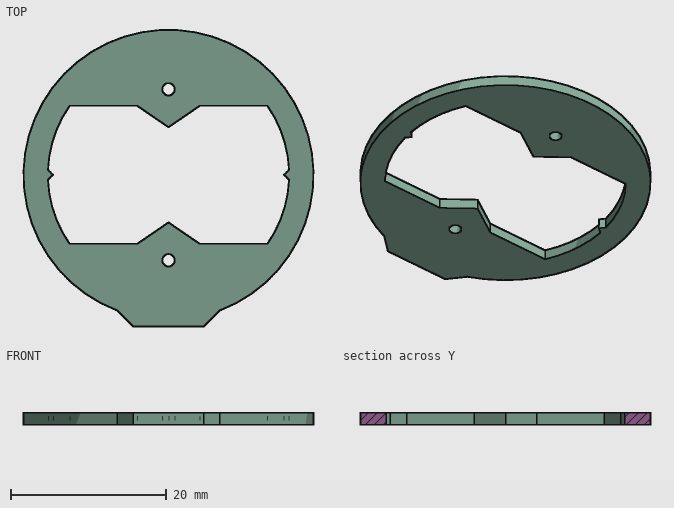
import cadquery as cq

thickness = 1.55
outer_diameter = 37.33
overall_length = 38.17
outer_radius = outer_diameter / 2
tab_end_y = outer_radius - overall_length

tab_end_width = 9.12
tab_flare = 3.8

window_diameter = 31.0
window_height = 17.7

flat_point_depth = 2.75
flat_point_width = 8.0

side_point_depth = 0.65
side_point_root = 0.4

hole_diameter = 1.55
hole_spacing = 22.0


def extrude_outline(points):
    """Closed straight-sided outline extruded through the plate thickness."""
    return cq.Workplane("XY").polyline(points).close().extrude(thickness)


def make_disc():
    return cq.Workplane("XY").circle(outer_radius).extrude(thickness)


def make_tab():
    half_end = tab_end_width / 2
    half_root = half_end + tab_flare
    root_y = tab_end_y + tab_flare
    return extrude_outline([
        (-half_end, tab_end_y),
        (half_end, tab_end_y),
        (half_root, root_y),
        (-half_root, root_y),
    ])


def make_flat_point(side):
    """Point on the window flat at +Y (side = 1) or -Y (side = -1)."""
    base_y = side * window_height / 2
    tip_y = side * (window_height / 2 - flat_point_depth)
    half_width = flat_point_width / 2
    return extrude_outline([(-half_width, base_y), (half_width, base_y), (0, tip_y)])


def make_side_point(side):
    """Point on the round window edge at +X (side = 1) or -X (side = -1)."""
    tip_x = side * (window_diameter / 2 - side_point_depth)
    half_width = side_point_depth + side_point_root
    base_x = tip_x + side * half_width
    return extrude_outline([(base_x, -half_width), (base_x, half_width), (tip_x, 0)])


def make_window():
    opening = cq.Workplane("XY").circle(window_diameter / 2).extrude(thickness)
    band = (
        cq.Workplane("XY")
        .rect(window_diameter, window_height)
        .extrude(thickness)
    )
    window = opening.intersect(band)
    for side in (1, -1):
        window = window.cut(make_flat_point(side))
        window = window.cut(make_side_point(side))
    return window


def make_holes():
    return (
        cq.Workplane("XY")
        .pushPoints([(0, hole_spacing / 2), (0, -hole_spacing / 2)])
        .circle(hole_diameter / 2)
        .extrude(thickness)
    )


result = make_disc().union(make_tab()).cut(make_window()).cut(make_holes())